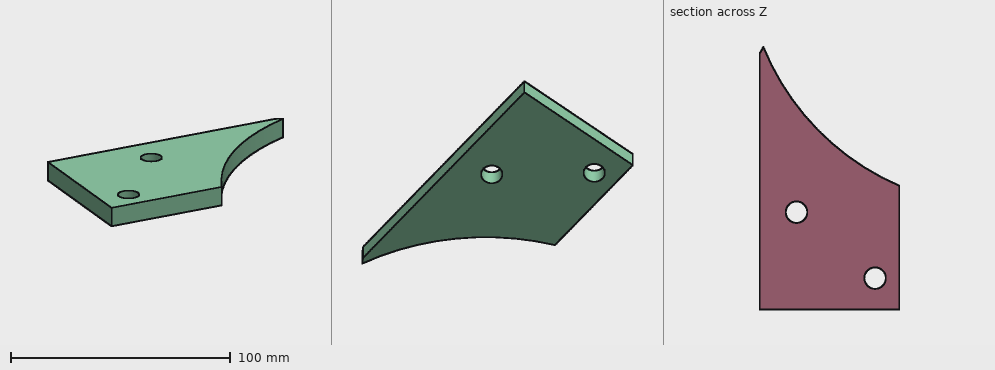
import cadquery as cq

width = 63.5
length = 119.6
thickness = 9.1

tip_x = 1.7
left_side_length = 116.7
right_side_length = 56.5
arc_radius = 116.6

hole_diameter = 9.7
hole_centers = [(16.7, 44.4), (52.5, 14.4)]


def make_plate():
    """Flat plate with one concave edge."""
    return (
        cq.Workplane("XY")
        .lineTo(width, 0)
        .lineTo(width, right_side_length)
        .radiusArc((tip_x, length), arc_radius)
        .lineTo(0, left_side_length)
        .close()
        .extrude(thickness)
    )


def make_hole_cutters():
    """Cylinders that pass through the full plate thickness."""
    return (
        cq.Workplane("XY")
        .pushPoints(hole_centers)
        .circle(hole_diameter / 2)
        .extrude(thickness)
    )


result = make_plate().cut(make_hole_cutters())